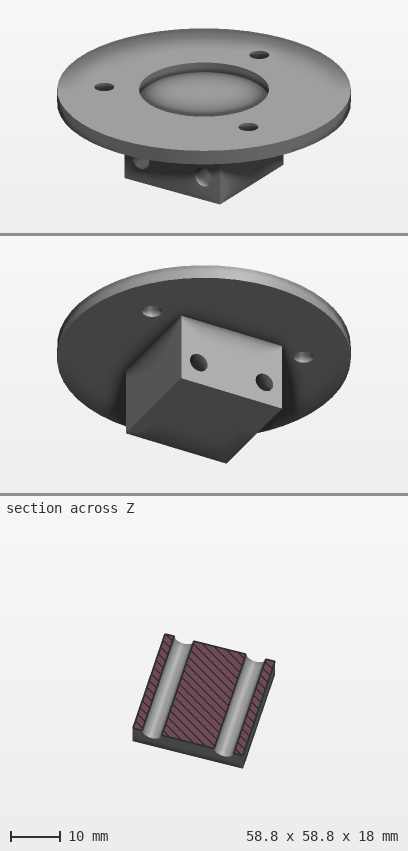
import cadquery as cq

plate_diameter = 58.8
plate_thickness = 3.0
boss_height = 5.0
block_side = 23.0

pocket_diameter = 26.0
pocket_depth = 2.1

plate_hole_count = 3
plate_hole_diameter = 4.0
plate_hole_circle_radius = 20.0
first_hole_angle = 90.0

block_height = 10.0
cross_hole_diameter = 4.0
cross_hole_count = 2
cross_hole_spacing = 15.0

boss_bottom = block_height
plate_bottom = boss_bottom + boss_height
plate_top = plate_bottom + plate_thickness


def square_prism(bottom, height):
    """Square column centred on the Z axis."""
    return cq.Workplane("XY").workplane(offset=bottom).rect(block_side, block_side).extrude(height)


def disc(bottom, diameter, height):
    """Upright cylinder centred on the Z axis."""
    return cq.Workplane("XY").workplane(offset=bottom).circle(diameter / 2).extrude(height)


def make_flange():
    """Round plate and square boss as one solid, with the pocket and mounting holes."""
    plate = disc(plate_bottom, plate_diameter, plate_thickness)
    pocket = disc(plate_top - pocket_depth, pocket_diameter, pocket_depth)
    mounting_holes = (
        cq.Workplane("XY")
        .workplane(offset=plate_bottom)
        .polarArray(plate_hole_circle_radius, first_hole_angle, 360, plate_hole_count)
        .circle(plate_hole_diameter / 2)
        .extrude(plate_thickness)
    )
    boss = square_prism(boss_bottom, boss_height)
    return plate.union(boss).cut(pocket).cut(mounting_holes)


def make_block():
    """Square block with a pair of holes right through it along Y."""
    cross_holes = (
        cq.Workplane("XZ")
        .center(0, block_height / 2)
        .rarray(cross_hole_spacing, 1, cross_hole_count, 1)
        .circle(cross_hole_diameter / 2)
        .extrude(block_side, both=True)
    )
    return square_prism(0, block_height).cut(cross_holes)


flange = make_flange()
block = make_block()

result = cq.Compound.makeCompound([flange.val(), block.val()])